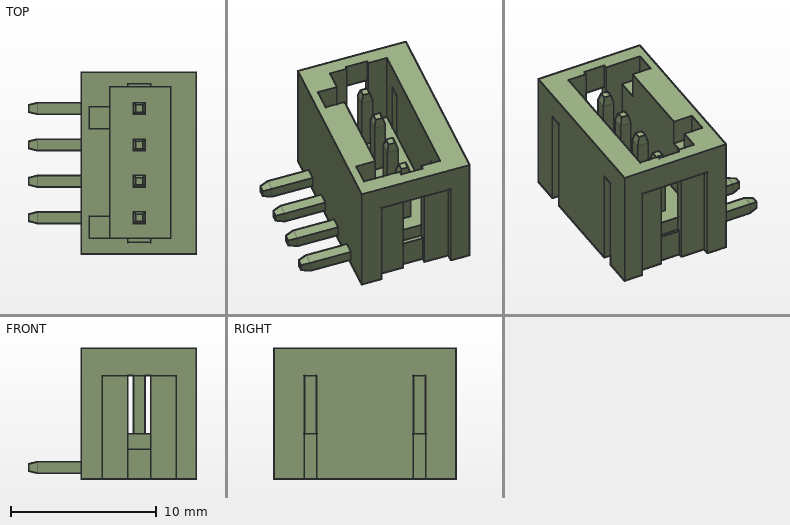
import cadquery as cq

body_length = 7.92
body_width = 12.5
body_height = 9.0

cavity_back = 1.98
cavity_front = 6.16
cavity_y_min = -5.16
cavity_y_max = 5.25
floor_height = 3.12

opening_top = 7.1

keyway_width = 1.52
keyway_depth = 1.4
keyway_floor = opening_top
keyway_y_starts = [cavity_y_min, 2.35]

row_x = 4.0
recess_length = 5.09
recess_depth = 0.5
slot_length = 1.56
slot_depth = 0.81
guide_bottom = 2.06

pin_count = 4
pin_pitch = 2.5
pin_size = 0.8
pin_top = 7.91
tip_size = 0.5
tip_length = 0.6
tail_length = 3.6
tail_height = 0.8

front_slot_width = 0.88

pin_ys = [(i - (pin_count - 1) / 2) * pin_pitch for i in range(pin_count)]


def block(x_min, x_max, y_min, y_max, z_min, z_max):
    """Axis-aligned box given by its limits."""
    size = (x_max - x_min, y_max - y_min, z_max - z_min)
    return cq.Workplane("XY").box(*size, centered=False).translate((x_min, y_min, z_min))


def tapered_bar(plane_name, start, straight_length):
    """Square bar along the plane normal, ending in a tapered tip."""
    plane = cq.Workplane(plane_name, origin=start)
    shaft = plane.rect(pin_size, pin_size).extrude(straight_length)
    tip = (
        plane.workplane(offset=straight_length)
        .rect(pin_size, pin_size)
        .workplane(offset=tip_length)
        .rect(tip_size, tip_size)
        .loft(ruled=True)
    )
    return shaft.union(tip)


def pin(y):
    """Right-angle pin: upright contact plus tail leaving the back face."""
    contact = tapered_bar("XY", (row_x, y, tail_height), pin_top - tip_length - tail_height)
    tail = tapered_bar("ZY", (row_x, y, tail_height), row_x + tail_length - tip_length)
    return contact.union(tail)


def end_cuts(side):
    """Recess, slot and inner guide groove of the end wall at y = side * body_width / 2."""

    def centred_cut(length, outer_depth, inner_depth, z_min, z_max):
        y_limits = sorted(side * (body_width / 2 - depth) for depth in (outer_depth, inner_depth))
        return block(row_x - length / 2, row_x + length / 2, *y_limits, z_min, z_max)

    cavity_end = cavity_y_max if side > 0 else -cavity_y_min
    recess = centred_cut(recess_length, 0, recess_depth, 0, opening_top)
    slot = centred_cut(slot_length, 0, slot_depth, 0, opening_top)
    guide = centred_cut(slot_length, slot_depth, body_width / 2 - cavity_end, guide_bottom, body_height)
    return recess.union(slot).union(guide)


housing = block(0, body_length, -body_width / 2, body_width / 2, 0, body_height)
cavity = block(cavity_back, cavity_front, cavity_y_min, cavity_y_max, floor_height, body_height)
housing = housing.cut(cavity)

for y_start in keyway_y_starts:
    y_end = y_start + keyway_width
    keyway = block(cavity_back - keyway_depth, cavity_back, y_start, y_end, keyway_floor, body_height)
    housing = housing.cut(keyway)

for side in (-1, 1):
    housing = housing.cut(end_cuts(side))

for y in (pin_ys[0], pin_ys[-1]):
    y_min = y - front_slot_width / 2
    front_slot = block(cavity_front, body_length, y_min, y_min + front_slot_width, 0, opening_top)
    housing = housing.cut(front_slot)

result = housing
for y in pin_ys:
    result = result.union(pin(y))